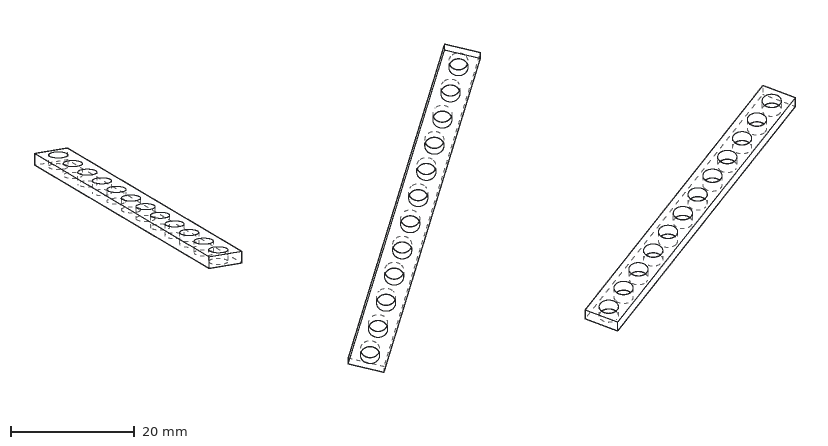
import cadquery as cq

HOLE_COUNT = 12
HOLE_PITCH = 5.0
BAR_LENGTH = HOLE_COUNT * HOLE_PITCH
BAR_WIDTH = 6.0
BAR_THICKNESS = 2.0

HOLE_DIAMETER = 3.1


def make_bar():
    """Flat rectangular bar centred on the origin."""
    return cq.Workplane("XY").box(BAR_LENGTH, BAR_WIDTH, BAR_THICKNESS)


def drill_hole_row(bar):
    """Drill the single row of evenly spaced holes along the bar's centreline."""
    return (
        bar.faces(">Z")
        .workplane()
        .rarray(HOLE_PITCH, BAR_WIDTH, HOLE_COUNT, 1)
        .hole(HOLE_DIAMETER)
    )


result = drill_hole_row(make_bar())